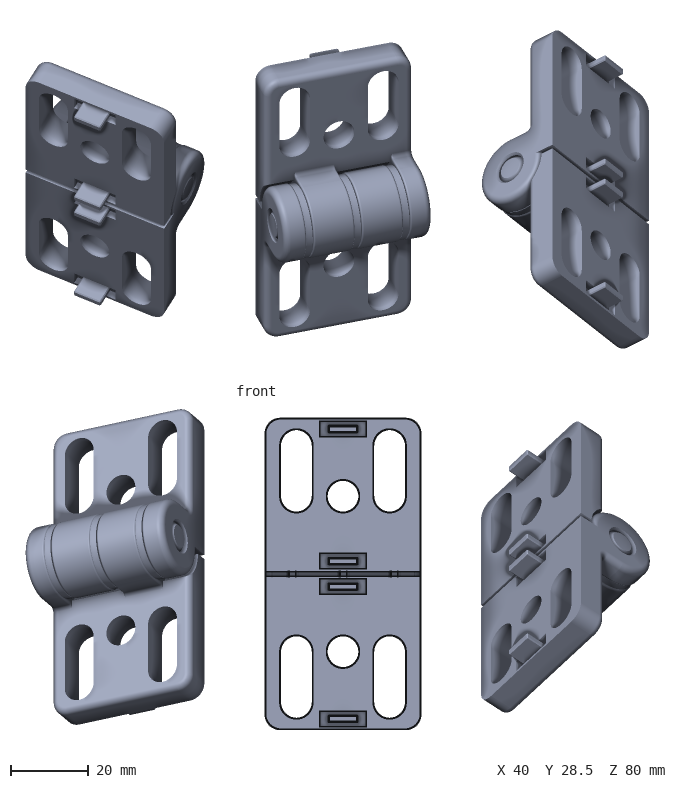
import cadquery as cq
WIDTH = 40.0
HEIGHT = 80.0
LEAF_GAP = 1.2
PLATE_THICKNESS = 8.0
PLATE_CORNER_RADIUS = 4.0
OUTER_ROUND = 1.7
AXIS_Y = 14.0

BARREL_RADIUS = 10.0
WASHER_RADIUS = 9.8
KNUCKLE_GAP = 2.0
KNUCKLE_GAP_PITCH = 13.1
WASHER_PLAY = 0.2
INNER_ROUND = 0.5
ROOT_FILLET = 1.0
CLEARANCE_RADIUS = 10.5

PIN_RADIUS = 4.0
PIN_END_CHAMFER = 1.0
PIN_RECESS = 0.2
BORE_CHAMFER = 0.6

HOLE_DIAMETER = 8.3
HOLE_Z = 20.0
SLOT_SPACING = 24.0
SLOT_TRAVEL = 13.0

POCKET_WIDTH = 12.0
POCKET_HEIGHT = 4.0
POCKET_DEPTH = 2.0
TAB_Z_POSITIONS = (3.3, 37.3)
TAB_WIDTH = 7.7
TAB_THICKNESS = 1.8
TAB_PROJECTION = 4.5
TAB_CHAMFER = 0.28

HALF_WIDTH = WIDTH / 2
HALF_GAP = KNUCKLE_GAP / 2
PLATE_BOTTOM = LEAF_GAP / 2
PLATE_TOP = HEIGHT / 2
GAP_CENTRES = (-KNUCKLE_GAP_PITCH, 0.0, KNUCKLE_GAP_PITCH)
END_KNUCKLE = (-HALF_WIDTH, -KNUCKLE_GAP_PITCH - HALF_GAP)
INNER_KNUCKLE = (HALF_GAP, KNUCKLE_GAP_PITCH - HALF_GAP)


def box(x_range, y_range, z_range):
    """Box between two limits along each axis."""
    sizes = [high - low for low, high in (x_range, y_range, z_range)]
    corner = (x_range[0], y_range[0], z_range[0])
    return cq.Workplane("XY").box(*sizes, centered=False).translate(corner)


def axis_cylinder(radius, x_range):
    """Cylinder around the hinge axis."""
    start, end = x_range
    return cq.Workplane("YZ", origin=(start, AXIS_Y, 0)).circle(radius).extrude(end - start)


def make_plate():
    """Plate with rounded corners away from the hinge and a rounded back edge."""
    plate = box((-HALF_WIDTH, HALF_WIDTH), (0, PLATE_THICKNESS), (PLATE_BOTTOM, PLATE_TOP))
    plate = plate.edges("|Y and >Z").fillet(PLATE_CORNER_RADIUS)
    plate = plate.faces(">Y").edges("not <Z").fillet(OUTER_ROUND)
    for x_range in (
        (END_KNUCKLE[1], INNER_KNUCKLE[0]),
        (INNER_KNUCKLE[1], HALF_WIDTH),
    ):
        plate = plate.cut(axis_cylinder(CLEARANCE_RADIUS, x_range))
    return plate


def make_knuckle(x_range, left_round):
    """Barrel whose straight upper side runs into the plate over a concave root fillet."""
    start, end = x_range
    plate_back = PLATE_THICKNESS - AXIS_Y
    buried_y = -BARREL_RADIUS
    buried_top = BARREL_RADIUS + ROOT_FILLET + OUTER_ROUND
    outline = (
        cq.Workplane("YZ", origin=(start, AXIS_Y, 0))
        .moveTo(buried_y, 0)
        .threePointArc((0, -BARREL_RADIUS), (BARREL_RADIUS, 0))
        .tangentArcPoint((0, BARREL_RADIUS), relative=False)
        .lineTo(plate_back + ROOT_FILLET, BARREL_RADIUS)
        .tangentArcPoint((plate_back, BARREL_RADIUS + ROOT_FILLET), relative=False)
        .lineTo(plate_back, buried_top)
        .lineTo(buried_y, buried_top)
        .close()
    )
    knuckle = outline.extrude(end - start)
    knuckle = knuckle.faces("<X").edges().fillet(left_round)
    return knuckle.faces(">X").edges().fillet(INNER_ROUND)


def make_mounting_holes():
    """Cutters for the round hole and the two slots."""
    face = cq.Workplane("XZ", origin=(0, 0, HOLE_Z))
    hole = face.circle(HOLE_DIAMETER / 2).extrude(-PLATE_THICKNESS)
    slots = (
        face.pushPoints([(-SLOT_SPACING / 2, SLOT_TRAVEL / 2), (SLOT_SPACING / 2, SLOT_TRAVEL / 2)])
        .slot2D(SLOT_TRAVEL + HOLE_DIAMETER, HOLE_DIAMETER, 90)
        .extrude(-PLATE_THICKNESS)
    )
    return hole.union(slots)


def make_tab():
    """Tab at Z = 0, from the pocket floor to its chamfered tip."""
    return box(
        (-TAB_WIDTH / 2, TAB_WIDTH / 2),
        (-TAB_PROJECTION, POCKET_DEPTH),
        (-TAB_THICKNESS / 2, TAB_THICKNESS / 2),
    ).edges("not >Y").chamfer(TAB_CHAMFER)


def make_pocket():
    """Cutter for the pocket around a tab at Z = 0."""
    return box(
        (-POCKET_WIDTH / 2, POCKET_WIDTH / 2),
        (0, POCKET_DEPTH),
        (-POCKET_HEIGHT / 2, POCKET_HEIGHT / 2),
    )


def make_leaf():
    """Upper leaf: plate, two knuckles, pin bore, mounting holes and tabs."""
    leaf = make_plate()
    leaf = leaf.union(make_knuckle(END_KNUCKLE, OUTER_ROUND))
    leaf = leaf.union(make_knuckle(INNER_KNUCKLE, INNER_ROUND))

    leaf = leaf.cut(axis_cylinder(PIN_RADIUS, (-HALF_WIDTH, HALF_WIDTH)))
    bore_mouth = cq.selectors.NearestToPointSelector((-HALF_WIDTH, AXIS_Y, 0))
    leaf = leaf.faces("<X").edges(bore_mouth).chamfer(BORE_CHAMFER)

    leaf = leaf.cut(make_mounting_holes())
    for z in TAB_Z_POSITIONS:
        leaf = leaf.cut(make_pocket().translate((0, 0, z)))
        leaf = leaf.union(make_tab().translate((0, 0, z)))
    return leaf


def make_pin():
    """Pin with chamfered ends, slightly shorter than the hinge."""
    half_length = HALF_WIDTH - PIN_RECESS
    pin = axis_cylinder(PIN_RADIUS, (-half_length, half_length))
    return pin.faces("<X or >X").edges().chamfer(PIN_END_CHAMFER)


def make_washer(gap_centre):
    """Ring in the gap between two knuckles, resting on the +X one."""
    x_range = (gap_centre - HALF_GAP + WASHER_PLAY, gap_centre + HALF_GAP)
    return axis_cylinder(WASHER_RADIUS, x_range).cut(axis_cylinder(PIN_RADIUS, x_range))


upper_leaf = make_leaf()
lower_leaf = make_leaf().rotate((0, 0, 0), (0, 1, 0), 180)
pin = make_pin()
washers = [make_washer(gap_centre) for gap_centre in GAP_CENTRES]

result = cq.Compound.makeCompound(
    [upper_leaf.val(), lower_leaf.val(), pin.val(), *[washer.val() for washer in washers]]
)